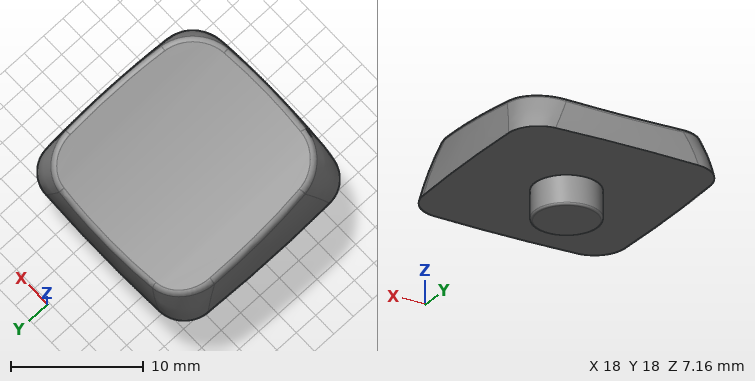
import cadquery as cq
import math

CAP_LEVELS = [
    (0, 8.98, 9, 9, 2.7, 0.29),
    (2.52, 8.55, 8.71, 8.73, 3.42, 0.43),
    (5.04, 7.85, 8.06, 7.65, 4.14, 0.63),
]

DISH_RADIUS = 81
DISH_CENTER_HEIGHT = 3.73
DISH_SLOPE = 0.11
DISH_LENGTH = 54
RIM_FILLET = 0.5

STEM_DIAMETER = 5.5
STEM_LENGTH = 2.45
STEM_OVERLAP = 0.9
STEM_FILLET = 0.18


def cap_outline(height, half_width, front, back, corner_radius, bulge):
    """Closed outline of four shallow arcs joined by rounded corners."""
    corner_x = half_width - bulge
    front_y = -front + bulge
    back_y = back - bulge
    middle_y = (back - front) / 2
    outline = (
        cq.Workplane("XY")
        .moveTo(-corner_x, front_y)
        .threePointArc((0, -front), (corner_x, front_y))
        .threePointArc((half_width, middle_y), (corner_x, back_y))
        .threePointArc((0, back), (-corner_x, back_y))
        .threePointArc((-half_width, middle_y), (-corner_x, front_y))
        .close()
        .wire()
        .val()
    )
    rounded = outline.fillet2D(corner_radius, outline.Vertices())
    return rounded.translate(cq.Vector(0, 0, height))


def make_dish_cutter():
    """Cylinder that hollows the top, tilted to follow the slope."""
    slope_angle = math.degrees(math.atan(DISH_SLOPE))
    return (
        cq.Workplane("XZ")
        .circle(DISH_RADIUS)
        .extrude(DISH_LENGTH / 2, both=True)
        .translate((0, 0, DISH_RADIUS))
        .rotate((0, 0, 0), (1, 0, 0), -slope_angle)
        .translate((0, 0, DISH_CENTER_HEIGHT))
    )


def make_cap():
    """Lofted body with its dished top and rounded rim."""
    outlines = [cap_outline(*level) for level in CAP_LEVELS]
    body = cq.Workplane(cq.Solid.makeLoft(outlines))
    dished = body.cut(make_dish_cutter())
    return dished.faces(">Z").edges().fillet(RIM_FILLET)


def make_stem():
    """Plain round stem with a rounded lower end."""
    return (
        cq.Workplane("XY")
        .workplane(offset=-STEM_LENGTH)
        .circle(STEM_DIAMETER / 2)
        .extrude(STEM_LENGTH + STEM_OVERLAP)
        .faces("<Z")
        .edges()
        .fillet(STEM_FILLET)
    )


result = make_cap().union(make_stem())